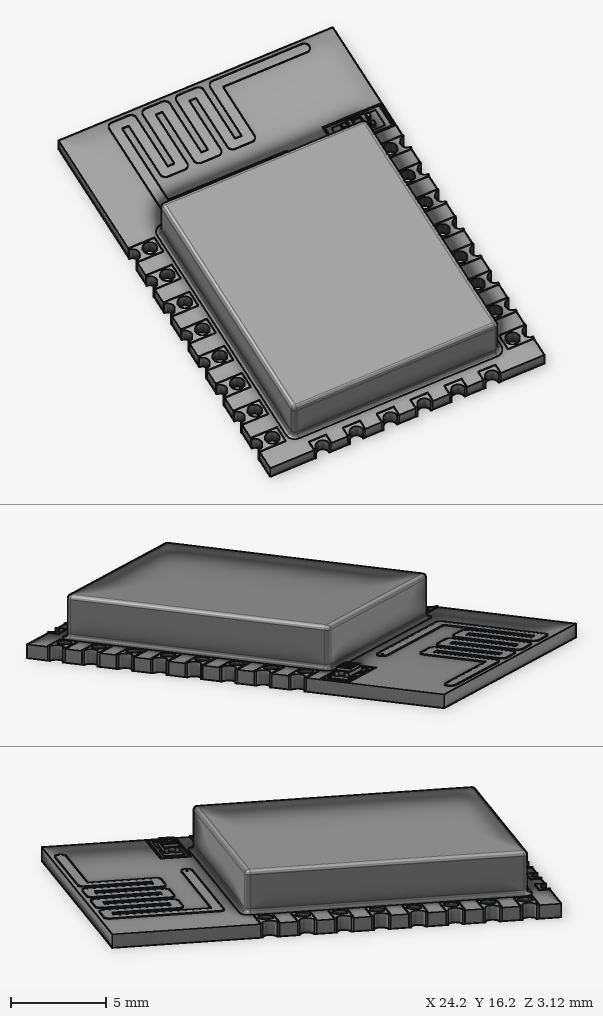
import cadquery as cq

TOTAL_LENGTH = 24.2
TOTAL_WIDTH = 16.22
TOTAL_HEIGHT = 3.12

EDGE_PLATING = 0.012
BOARD_LENGTH = TOTAL_LENGTH - EDGE_PLATING
BOARD_WIDTH = TOTAL_WIDTH - 2 * EDGE_PLATING
BOARD_TOP = 0.75
COPPER_THICKNESS = 0.05
PRINT_THICKNESS = 0.012
COPPER_TOP = BOARD_TOP + COPPER_THICKNESS
PRINT_TOP = BOARD_TOP + PRINT_THICKNESS

PAD_WIDTH = 1.02
HOLE_RADIUS = 0.39
SIDE_PAD_COUNT = 8
SIDE_PAD_SPAN = 14.0
PAD_PITCH = SIDE_PAD_SPAN / (SIDE_PAD_COUNT - 1)
SIDE_PAD_LENGTH = 1.55
SIDE_PAD_FIRST_X = 8.5
SIDE_HOLE_INSET = 1.02
END_PAD_COUNT = 6
END_PAD_LENGTH = 0.6

TRACE_WIDTH = 0.6
TRACE_LEFT_X = 0.55
TRACE_FOLD_X = 4.45
TRACE_RIGHT_X = 6.42
TRACE_START_Y = 6.13
TRACE_FIRST_RUN_Y = 0.87
TRACE_RUN_PITCH = 1.0
TRACE_END_Y = 2.08
TRACE_RUN_COUNT = 7
VIA_RADIUS = 0.05

LED_X = TRACE_RIGHT_X
LED_Y = 6.3
OUTLINE_LENGTH = 3.4
OUTLINE_WIDTH = 1.65
OUTLINE_STROKE = 0.1
LED_PAD_LENGTH = 1.05
LED_PAD_WIDTH = 1.11
LED_PAD_OFFSET = 0.77
LED_LENGTH = 1.65
LED_WIDTH = 0.82
LED_BASE_TOP = 1.02
LED_TOP = 1.19
LED_NOTCH_RADIUS = 0.17
LENS_LENGTH = 1.15
LENS_BORDER = 0.07
LENS_RECESS_DEPTH = 0.02
LENS_RING_SIZE = 0.55

CAN_LEFT_X = 7.65
CAN_LENGTH = 15.23
CAN_WIDTH = 12.18
CAN_EDGE_RADIUS = 0.25
FLARE_RADIUS = 0.27
FLARE_OVERLAP = 0.12


def block(x_size, y_size, bottom, top, x, y):
    """Rectangular block centred on (x, y) between two heights."""
    height = top - bottom
    return cq.Workplane("XY").box(x_size, y_size, height).translate((x, y, bottom + height / 2))


def row(count, pitch, first):
    """Evenly spaced positions along a line."""
    return [first + index * pitch for index in range(count)]


def make_castellations():
    """Raised pads wrapping the board edges, and the centres of the holes through them."""
    pads = []
    holes = []
    for x in row(SIDE_PAD_COUNT, PAD_PITCH, SIDE_PAD_FIRST_X):
        for side in (-1, 1):
            edge_y = side * TOTAL_WIDTH / 2
            pad_y = edge_y - side * SIDE_PAD_LENGTH / 2
            pads.append(block(PAD_WIDTH, SIDE_PAD_LENGTH, 0, COPPER_TOP, x, pad_y))
            holes.append((x, edge_y))
            holes.append((x, edge_y - side * SIDE_HOLE_INSET))
    end_pad_x = TOTAL_LENGTH - END_PAD_LENGTH / 2
    end_pad_first_y = -PAD_PITCH * (END_PAD_COUNT - 1) / 2
    for y in row(END_PAD_COUNT, PAD_PITCH, end_pad_first_y):
        pads.append(block(END_PAD_LENGTH, PAD_WIDTH, 0, COPPER_TOP, end_pad_x, y))
        holes.append((TOTAL_LENGTH, y))
    return pads, holes


def antenna_path():
    """Corner points of the antenna centre line, from its free end to its feed end."""
    points = [(TRACE_LEFT_X, TRACE_START_Y)]
    near_x, far_x = TRACE_LEFT_X, TRACE_FOLD_X
    for run in range(TRACE_RUN_COUNT):
        y = TRACE_FIRST_RUN_Y - run * TRACE_RUN_PITCH
        is_last = run == TRACE_RUN_COUNT - 1
        points.append((near_x, y))
        points.append((TRACE_RIGHT_X if is_last else far_x, y))
        near_x, far_x = far_x, near_x
    points.append((TRACE_RIGHT_X, TRACE_END_Y))
    return points


def make_antenna():
    """Trace of constant width with round ends and round outer corners."""
    points = antenna_path()
    trace = cq.Workplane("XY")
    for (x0, y0), (x1, y1) in zip(points, points[1:]):
        length = abs(x1 - x0) + abs(y1 - y0) + TRACE_WIDTH
        angle = 0 if y0 == y1 else 90
        stretch = (
            cq.Workplane("XY", origin=((x0 + x1) / 2, (y0 + y1) / 2, BOARD_TOP))
            .slot2D(length, TRACE_WIDTH, angle)
            .extrude(COPPER_THICKNESS)
        )
        trace = trace.union(stretch)
    via = (
        cq.Workplane("XY", origin=(TRACE_RIGHT_X, TRACE_END_Y, BOARD_TOP))
        .circle(VIA_RADIUS)
        .extrude(COPPER_THICKNESS)
    )
    return trace.cut(via)


def make_led_footprint():
    """Printed outline and the two solder pads under the diode."""
    inner_width = OUTLINE_WIDTH - 2 * OUTLINE_STROKE
    inner_length = OUTLINE_LENGTH - 2 * OUTLINE_STROKE
    outline = block(OUTLINE_WIDTH, OUTLINE_LENGTH, BOARD_TOP, PRINT_TOP, LED_X, LED_Y)
    inside = block(inner_width, inner_length, BOARD_TOP, PRINT_TOP, LED_X, LED_Y)
    footprint = outline.cut(inside)
    for side in (-1, 1):
        pad_y = LED_Y + side * LED_PAD_OFFSET
        pad = block(LED_PAD_WIDTH, LED_PAD_LENGTH, BOARD_TOP, PRINT_TOP, LED_X, pad_y)
        footprint = footprint.union(pad)
    return footprint


def make_board():
    """Board with its pads, antenna and diode footprint."""
    pads, holes = make_castellations()
    board = block(BOARD_LENGTH, BOARD_WIDTH, 0, BOARD_TOP, BOARD_LENGTH / 2, 0)
    for pad in pads:
        board = board.union(pad)
    board = board.union(make_antenna()).union(make_led_footprint())
    drill = cq.Workplane("XY").pushPoints(holes).circle(HOLE_RADIUS).extrude(COPPER_TOP)
    return board.cut(drill)


def make_led_base(board):
    """Diode carrier with a half-round notch at each end, seated on its pads."""
    base = block(LED_WIDTH, LED_LENGTH, BOARD_TOP, LED_BASE_TOP, LED_X, LED_Y)
    ends = [(LED_X, LED_Y - LED_LENGTH / 2), (LED_X, LED_Y + LED_LENGTH / 2)]
    notches = cq.Workplane("XY").pushPoints(ends).circle(LED_NOTCH_RADIUS).extrude(LED_BASE_TOP)
    return base.cut(notches).cut(board)


def make_led_lens():
    """Diode lens with a shallow recess in its top and a square ring standing in the recess."""
    floor = LED_TOP - LENS_RECESS_DEPTH
    recess_width = LED_WIDTH - 2 * LENS_BORDER
    recess_length = LENS_LENGTH - 2 * LENS_BORDER
    ring_inner = LENS_RING_SIZE - 2 * LENS_BORDER
    lens = block(LED_WIDTH, LENS_LENGTH, LED_BASE_TOP, LED_TOP, LED_X, LED_Y)
    recess = block(recess_width, recess_length, floor, LED_TOP, LED_X, LED_Y)
    ring = block(LENS_RING_SIZE, LENS_RING_SIZE, floor, LED_TOP, LED_X, LED_Y)
    ring = ring.cut(block(ring_inner, ring_inner, floor, LED_TOP, LED_X, LED_Y))
    return lens.cut(recess).union(ring)


def make_can():
    """Shield can with rounded edges and a concave flare down to the board."""
    x = CAN_LEFT_X + CAN_LENGTH / 2
    can = block(CAN_LENGTH, CAN_WIDTH, BOARD_TOP, TOTAL_HEIGHT, x, 0)
    can = can.edges("|Z or >Z").fillet(CAN_EDGE_RADIUS)
    footprint = can.faces("<Z").wires()
    flare = (
        cq.Workplane("YZ", origin=(x, -CAN_WIDTH / 2, BOARD_TOP))
        .moveTo(FLARE_OVERLAP, 0)
        .lineTo(-FLARE_RADIUS, 0)
        .radiusArc((0, FLARE_RADIUS), -FLARE_RADIUS)
        .lineTo(FLARE_OVERLAP, FLARE_RADIUS)
        .close()
        .sweep(footprint)
    )
    return can.union(flare)


board = make_board()
led_base = make_led_base(board)
led_lens = make_led_lens()
can = make_can()

result = cq.Compound.makeCompound([board.val(), can.val(), led_base.val(), led_lens.val()])